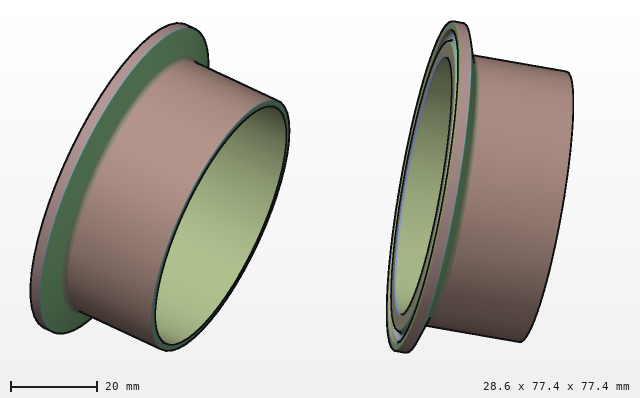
import cadquery as cq
import math

length = 28.57
rim_diameter = 77.39
tube_diameter = 63.5
bore_diameter = 60.2

rim_width = 2.85
clamp_angle = math.radians(20)
rim_round = 0.4
root_round = 1.2

groove_middle_diameter = 70.7
groove_depth = 1.6
groove_bottom_radius = 1.15
groove_wall_angle = math.radians(20)
groove_lip_round = 0.55

bore_round = 0.4
tube_end_round = 0.25

rim_radius = rim_diameter / 2
tube_radius = tube_diameter / 2
bore_radius = bore_diameter / 2
cone_end_x = rim_width + (rim_radius - tube_radius) * math.tan(clamp_angle)

axis_start = (0, 0, 0)
axis_end = (1, 0, 0)
selection_margin = 0.01


def rounded_circle(body, x, radius, fillet_radius):
    """Fillet the circular edge of the given radius that lies at the given X."""
    reach = radius + selection_margin
    at_x = cq.selectors.BoxSelector(
        (x - selection_margin, -reach, -reach),
        (x + selection_margin, reach, reach),
        boundingbox=True,
    )
    largest = cq.selectors.RadiusNthSelector(-1)
    return body.edges(at_x).edges(largest).fillet(fillet_radius)


def ferrule_body():
    """Sharp-edged ring: rim, clamping cone, tube and through bore."""
    return (
        cq.Workplane("XY")
        .moveTo(0, bore_radius)
        .lineTo(0, rim_radius)
        .lineTo(rim_width, rim_radius)
        .lineTo(cone_end_x, tube_radius)
        .lineTo(length, tube_radius)
        .lineTo(length, bore_radius)
        .close()
        .revolve(360, axis_start, axis_end)
    )


def gasket_groove():
    """Ring-shaped cutter whose section is symmetric about the groove's middle radius."""
    middle = groove_middle_diameter / 2
    sin_wall = math.sin(groove_wall_angle)
    cos_wall = math.cos(groove_wall_angle)

    bottom_x = groove_depth - groove_bottom_radius * (1 - sin_wall)
    bottom_half_width = groove_bottom_radius * cos_wall

    wall_x = groove_lip_round * (1 - sin_wall)
    wall_half_width = bottom_half_width + (bottom_x - wall_x) * math.tan(groove_wall_angle)
    face_half_width = wall_half_width + groove_lip_round * cos_wall

    half_turn = (math.pi / 2 - groove_wall_angle) / 2
    lip_x = groove_lip_round * (1 - math.cos(half_turn))
    lip_half_width = face_half_width - groove_lip_round * math.sin(half_turn)

    return (
        cq.Workplane("XY")
        .moveTo(0, middle - face_half_width)
        .threePointArc((lip_x, middle - lip_half_width), (wall_x, middle - wall_half_width))
        .lineTo(bottom_x, middle - bottom_half_width)
        .threePointArc((groove_depth, middle), (bottom_x, middle + bottom_half_width))
        .lineTo(wall_x, middle + wall_half_width)
        .threePointArc((lip_x, middle + lip_half_width), (0, middle + face_half_width))
        .close()
        .revolve(360, axis_start, axis_end)
    )


ferrule = ferrule_body()
ferrule = rounded_circle(ferrule, 0, rim_radius, rim_round)
ferrule = rounded_circle(ferrule, rim_width, rim_radius, rim_round)
ferrule = rounded_circle(ferrule, cone_end_x, tube_radius, root_round)
ferrule = rounded_circle(ferrule, length, tube_radius, tube_end_round)
ferrule = rounded_circle(ferrule, 0, bore_radius, bore_round)

result = ferrule.cut(gasket_groove())